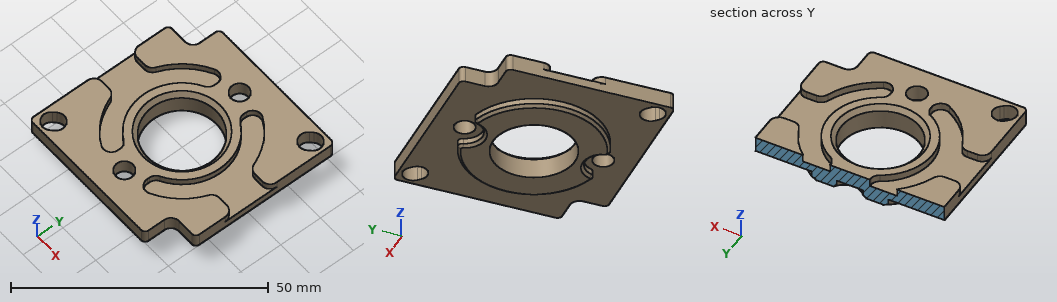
import cadquery as cq
import math

plate_side = 42.0
plate_thickness = 3.5
half_side = plate_side / 2
notch_size = 7.0
notch_root_radius = 2.0
plate_corner_radius = 1.0

bore_diameter = 17.25
bore_chamfer = 1.0

boss_radius = 14.85
boss_height = 1.8
boss_chamfer = 0.6
boss_relief_radius = 3.75
boss_relief_corner_radius = 1.0

screw_diameter = 4.3
screw_offset = 14.5
slot_width = 4.3
slot_center_travel = 0.85
slot_offset = 17.7

pocket_depth = 1.6
pocket_inner_radius = 11.5
pocket_outer_radius = 16.0
pocket_margin = 4.45
pocket_corner_radius = 2.0

screw_centers = [(0, screw_offset), (0, -screw_offset)]
slot_centers = [(slot_offset, slot_offset), (-slot_offset, -slot_offset)]
upright = cq.selectors.ParallelDirSelector(cq.Vector(0, 0, 1))


def make_plate():
    """Square plate, underside at Z = 0, with two opposite corners notched."""
    plate = cq.Workplane("XY").rect(plate_side, plate_side).extrude(plate_thickness)
    notch_center = half_side - notch_size / 2
    notches = (
        cq.Workplane("XY")
        .pushPoints([(-notch_center, notch_center), (notch_center, -notch_center)])
        .rect(notch_size, notch_size)
        .extrude(plate_thickness)
    )
    plate = plate.cut(notches)

    root_reach = half_side - notch_size / 2
    roots = cq.selectors.BoxSelector(
        (-root_reach, -root_reach, 0),
        (root_reach, root_reach, plate_thickness),
    )
    plate = plate.edges(upright - roots).fillet(plate_corner_radius)
    return plate.edges(upright & roots).fillet(notch_root_radius)


def make_pocket():
    """Right-hand pocket: a C-shaped channel joined to an opening in the plate side."""
    inner_reach = math.sqrt(pocket_inner_radius**2 - pocket_margin**2)
    outer_reach = math.sqrt(pocket_outer_radius**2 - pocket_margin**2)
    outer_mid = pocket_outer_radius / math.sqrt(2)
    return (
        cq.Workplane("XY", origin=(0, 0, plate_thickness - pocket_depth))
        .moveTo(pocket_margin, inner_reach)
        .lineTo(pocket_margin, outer_reach)
        .threePointArc((outer_mid, outer_mid), (outer_reach, pocket_margin))
        .lineTo(half_side, pocket_margin)
        .lineTo(half_side, -pocket_margin)
        .lineTo(outer_reach, -pocket_margin)
        .threePointArc((outer_mid, -outer_mid), (pocket_margin, -outer_reach))
        .lineTo(pocket_margin, -inner_reach)
        .threePointArc((pocket_inner_radius, 0), (pocket_margin, inner_reach))
        .close()
        .extrude(pocket_depth)
    )


def cut_pockets(plate):
    """Cut both pockets and round their upright edges, including the side openings."""
    pocket = make_pocket()
    plate = plate.cut(pocket).cut(pocket.mirror("YZ"))
    pocket_floor = plate_thickness - pocket_depth
    pocket_levels = cq.selectors.BoxSelector(
        (-plate_side, -plate_side, pocket_floor),
        (plate_side, plate_side, plate_thickness),
    )
    return plate.edges(upright & pocket_levels).fillet(pocket_corner_radius)


def make_boss():
    """Round boss below the plate, relieved around the screw holes and chamfered."""
    boss = cq.Workplane("XY").circle(boss_radius).extrude(-boss_height)
    reliefs = (
        cq.Workplane("XY")
        .pushPoints(screw_centers)
        .circle(boss_relief_radius)
        .extrude(-boss_height)
    )
    boss = boss.cut(reliefs)
    relief_corners = cq.selectors.BoxSelector(
        (-boss_relief_radius, -boss_radius, -boss_height),
        (boss_relief_radius, boss_radius, 0),
    )
    boss = boss.edges(upright & relief_corners).fillet(boss_relief_corner_radius)
    return boss.faces("<Z").edges().chamfer(boss_chamfer)


def cut_bore(body):
    """Through bore with a chamfer at the top face."""
    total_height = plate_thickness + boss_height
    bore = (
        cq.Workplane("XY", origin=(0, 0, -boss_height))
        .circle(bore_diameter / 2)
        .extrude(total_height)
    )
    countersink = (
        cq.Workplane("XY", origin=(0, 0, plate_thickness))
        .circle(bore_diameter / 2 + bore_chamfer)
        .extrude(-bore_chamfer, taper=45)
    )
    return body.cut(bore).cut(countersink)


def cut_mounting_holes(body):
    """Round screw holes and diagonal corner slots, all through the plate."""
    screws = (
        cq.Workplane("XY")
        .pushPoints(screw_centers)
        .circle(screw_diameter / 2)
        .extrude(plate_thickness)
    )
    slots = (
        cq.Workplane("XY")
        .pushPoints(slot_centers)
        .slot2D(slot_width + slot_center_travel, slot_width, 45)
        .extrude(plate_thickness)
    )
    return body.cut(screws).cut(slots)


body = cut_pockets(make_plate()).union(make_boss())
result = cut_mounting_holes(cut_bore(body))